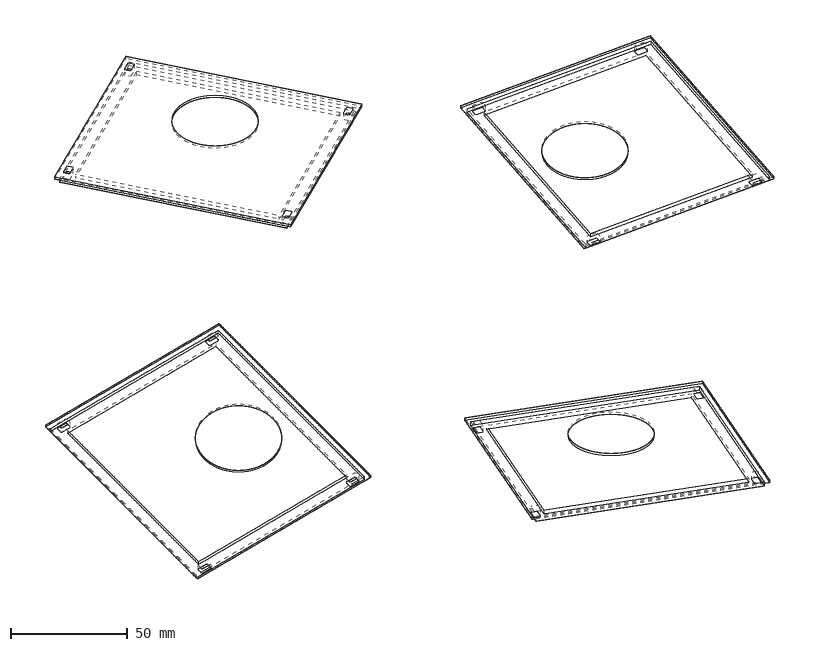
import cadquery as cq

length = 107.0
width = 93.5
height = 3.0
plate_thickness = 1.2

frame_height = height - plate_thickness
frame_inset_side = 2.0
frame_inset_back = 2.0
frame_inset_front = 1.0
frame_wall = 5.4

opening_diameter = 37.0
opening_x = -2.0
opening_y = 14.8

slot_length = 5.0
slot_width = 3.0
slot_x = 49.5
slot_y = 39.9
slot_corner_radius = 0.5


def centered_box(size_x, size_y, size_z, x, y, bottom):
    """Box centered at x, y and standing on the given level."""
    box = cq.Workplane("XY").box(size_x, size_y, size_z, centered=(True, True, False))
    return box.translate((x, y, bottom))


def make_frame():
    """Rectangular frame, closer to the front plate edge than to the back one."""
    frame_length = length - 2 * frame_inset_side
    frame_width = width - frame_inset_front - frame_inset_back
    center_y = (frame_inset_front - frame_inset_back) / 2
    outer = centered_box(frame_length, frame_width, frame_height, 0, center_y, 0)
    inner_length = frame_length - 2 * frame_wall
    inner_width = frame_width - 2 * frame_wall
    return outer.cut(centered_box(inner_length, inner_width, frame_height, 0, center_y, 0))


def make_slot(side, end):
    """Through slot in the plate corner given by the signs of x and y."""
    x = side * slot_x
    y = end * slot_y
    slot = centered_box(slot_width, slot_length, height, x, y, 0)
    return slot.edges("|Z").fillet(slot_corner_radius)


plate = centered_box(length, width, plate_thickness, 0, 0, frame_height)
opening = cq.Workplane("XY").center(opening_x, opening_y).circle(opening_diameter / 2).extrude(height)
result = plate.union(make_frame()).cut(opening)

for side in (-1, 1):
    for end in (-1, 1):
        result = result.cut(make_slot(side, end))